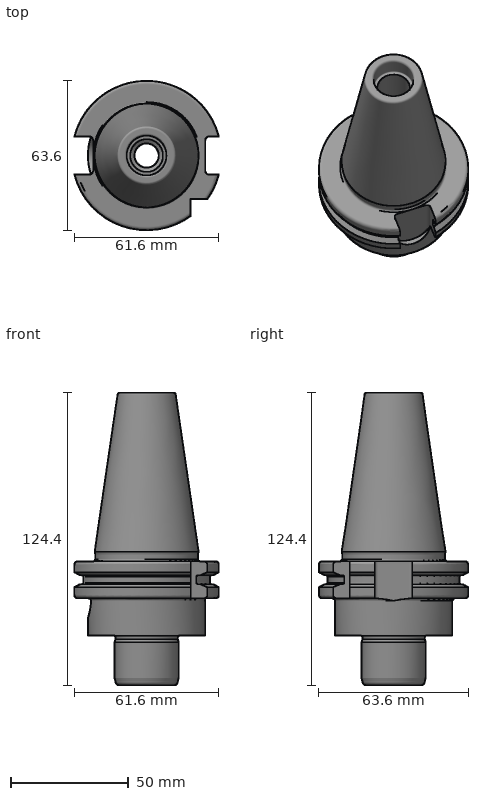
import cadquery as cq
import math

total_height = 124.4
shank_bottom = 21.1
flange_bottom = 37.0
flange_thickness = 15.8
flange_top = flange_bottom + flange_thickness
taper_bottom = 56.9
neck_top = 55.7

taper_large_radius = 22.1
taper_slope = 7 / 48
taper_small_radius = taper_large_radius - (total_height - taper_bottom) * taper_slope
taper_end_round = 1.0
neck_radius = 21.9
neck_fillet = 0.7

flange_diameter = 63.6
flange_radius = flange_diameter / 2
flange_round = 1.2
groove_center = 44.9
groove_mouth_half_width = 3.2
groove_floor_half_width = 1.9
groove_floor_radius = 28.1
groove_floor_fillet = 0.5
groove_flank_angle = 30
groove_flank_width = groove_mouth_half_width - groove_floor_half_width
groove_flank_depth = groove_flank_width / math.tan(math.radians(groove_flank_angle))

shank_radius = 25.0
shank_fillet = 0.8
shank_end_round = 0.3
pilot_radius = 13.7
pilot_relief_radius = 13.3
pilot_relief_bottom = 19.5
pilot_neck_fillet = 0.6
pilot_shoulder = 18.4
pilot_lead_top = 3.1
pilot_end_round = 1.4

counterbore_radius = 8.5
counterbore_depth = 8.2
counterbore_mouth_round = 0.8
counterbore_floor_fillet = 0.3
thread_radius = 7.0
thread_depth = 32.0
through_radius = 5.1
drill_tip_half_angle = 59

slot_width = 16.0
slot_bottom = 28.6
slot_corner_fillet = 1.5
deep_slot_floor = 22.8
shallow_slot_floor = shank_radius
notch_x = 18.7
notch_y = 18.5

INWARD = (-1.2, 0)
OUTWARD = (1.2, 0)
DOWN = (0, -1.2)
UP = (0, 1.2)

ARC_MID_SHARE = 1 - math.sqrt(0.5)


def round_corner(outline, corner, radius, came_from, goes_to):
    """Continue the outline to a square corner rounded by a quarter arc.

    came_from and goes_to are the unit directions leading away from the corner along its two sides.
    """

    def offset(distance_back, distance_on):
        return tuple(
            c + distance_back * back + distance_on * on
            for c, back, on in zip(corner, came_from, goes_to)
        )

    middle_offset = radius * ARC_MID_SHARE
    return outline.lineTo(*offset(radius, 0)).threePointArc(
        offset(middle_offset, middle_offset), offset(0, radius)
    )


def revolve_outline(outline):
    """Close an outline that starts and ends on the Z axis and revolve it."""
    return outline.close().revolve(360, (0, 0, 0), (0, 1, 0))


def groove_outline(outline):
    """Continue the outline upward through the V groove."""
    flank_radius = flange_radius - groove_flank_depth
    floor_low = groove_center - groove_floor_half_width
    floor_high = groove_center + groove_floor_half_width
    outline = outline.lineTo(flange_radius, groove_center - groove_mouth_half_width)
    outline = outline.lineTo(flank_radius, floor_low)
    for height, came_from, goes_to in ((floor_low, OUTWARD, UP), (floor_high, DOWN, OUTWARD)):
        outline = round_corner(
            outline, (groove_floor_radius, height), groove_floor_fillet, came_from, goes_to
        )
    outline = outline.lineTo(flank_radius, floor_high)
    return outline.lineTo(flange_radius, groove_center + groove_mouth_half_width)


def turned_body():
    """Revolve the outside of the holder, from the pilot up to the taper end."""
    outline = cq.Workplane("XZ")

    outline = round_corner(outline, (pilot_relief_radius, 0), pilot_end_round, INWARD, UP)
    outline = (
        outline.lineTo(pilot_radius, pilot_lead_top)
        .lineTo(pilot_radius, pilot_shoulder)
        .lineTo(pilot_relief_radius, pilot_relief_bottom)
    )
    outline = round_corner(
        outline, (pilot_relief_radius, shank_bottom), pilot_neck_fillet, DOWN, OUTWARD
    )

    outline = round_corner(outline, (shank_radius, shank_bottom), shank_end_round, INWARD, UP)
    outline = round_corner(outline, (shank_radius, flange_bottom), shank_fillet, DOWN, OUTWARD)

    outline = round_corner(outline, (flange_radius, flange_bottom), flange_round, INWARD, UP)
    outline = groove_outline(outline)
    outline = round_corner(outline, (flange_radius, flange_top), flange_round, DOWN, INWARD)

    outline = round_corner(outline, (neck_radius, flange_top), neck_fillet, OUTWARD, UP)
    outline = (
        outline.lineTo(neck_radius, neck_top)
        .lineTo(taper_large_radius, taper_bottom)
        .lineTo(taper_small_radius, total_height)
        .lineTo(0, total_height)
    )
    return revolve_outline(outline).faces(">Z").edges().fillet(taper_end_round)


def stepped_bore():
    """Revolve the space removed along the axis."""
    counterbore_floor = total_height - counterbore_depth
    thread_bottom = total_height - thread_depth
    tip_length = (thread_radius - through_radius) / math.tan(math.radians(drill_tip_half_angle))
    outline = (
        cq.Workplane("XZ")
        .lineTo(through_radius, 0)
        .lineTo(through_radius, thread_bottom - tip_length)
        .lineTo(thread_radius, thread_bottom)
        .lineTo(thread_radius, counterbore_floor)
    )
    outline = round_corner(
        outline, (counterbore_radius, counterbore_floor), counterbore_floor_fillet, INWARD, UP
    )
    outline = round_corner(
        outline, (counterbore_radius, total_height), counterbore_mouth_round, DOWN, OUTWARD
    )
    return revolve_outline(outline.lineTo(0, total_height))


def drive_slot(floor, side):
    """Round-ended slot open at the flange top; side is +1 for +X and -1 for -X."""
    length = flange_radius - floor
    height = flange_top - slot_bottom
    block = (
        cq.Workplane("XY", origin=(side * (floor + length / 2), 0, slot_bottom))
        .rect(length, slot_width)
        .extrude(height)
        .edges("|Z and " + ("<X" if side > 0 else ">X"))
        .fillet(slot_corner_fillet)
    )
    half_width = slot_width / 2
    outline = (
        cq.Workplane("YZ")
        .moveTo(-half_width, flange_top)
        .lineTo(-half_width, slot_bottom + half_width)
        .threePointArc((0, slot_bottom), (half_width, slot_bottom + half_width))
        .lineTo(half_width, flange_top)
        .close()
        .extrude(side * flange_radius)
    )
    return block.intersect(outline)


def orientation_notch():
    """Square corner taken out of the flange rim."""
    size = flange_radius
    notch = cq.Workplane("XY").box(size, size, flange_thickness, centered=False)
    return notch.translate((notch_x, -notch_y - size, flange_bottom))


result = (
    turned_body()
    .cut(stepped_bore())
    .cut(drive_slot(deep_slot_floor, -1))
    .cut(drive_slot(shallow_slot_floor, 1))
    .cut(orientation_notch())
)